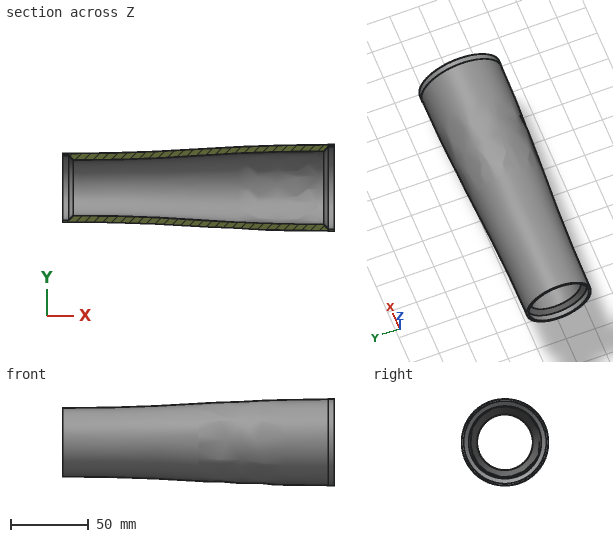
import cadquery as cq
import math

length = 175.0
collar_length = 3.8
small_radius = 22.2
large_radius = 28.0
large_body_radius = 27.8
middle_radius = (small_radius + large_body_radius) / 2

bore_radius = 17.8
lip_wall = 1.4
socket_depth = 3.8
cone_length = 3.0
throat_length = 4.0
wall = small_radius - bore_radius

middle_x = length / 2
large_collar_x = length - collar_length
large_bore_radius = large_body_radius - wall
bore_middle_radius = middle_radius - wall
small_throat_x = socket_depth + cone_length
small_bore_x = small_throat_x + throat_length
large_throat_x = length - small_throat_x
large_bore_x = length - small_bore_x

arc_run = middle_x - collar_length
arc_rise = middle_radius - small_radius
outer_arc_radius = (arc_run**2 + arc_rise**2) / (2 * arc_rise)
half_angle = math.asin(arc_run / outer_arc_radius) / 2
half_run = outer_arc_radius * math.sin(half_angle)
half_rise = outer_arc_radius * (1 - math.cos(half_angle))
swell_arc_middle = (collar_length + half_run, small_radius + half_rise)
settle_arc_middle = (large_collar_x - half_run, large_body_radius - half_rise)


def build_outline():
    """Half section of the tube, with X along the axis and Y as the radius."""
    return (
        cq.Workplane("XY")
        .moveTo(0, small_radius)
        .lineTo(collar_length, small_radius)
        .threePointArc(swell_arc_middle, (middle_x, middle_radius))
        .threePointArc(settle_arc_middle, (large_collar_x, large_body_radius))
        .lineTo(large_collar_x, large_radius)
        .lineTo(length, large_radius)
        .lineTo(length, large_radius - lip_wall)
        .lineTo(length - socket_depth, large_radius - lip_wall)
        .lineTo(large_throat_x, large_bore_radius)
        .lineTo(large_bore_x, large_bore_radius)
        .tangentArcPoint((middle_x, bore_middle_radius), relative=False)
        .tangentArcPoint((small_bore_x, bore_radius), relative=False)
        .lineTo(small_throat_x, bore_radius)
        .lineTo(socket_depth, small_radius - lip_wall)
        .lineTo(0, small_radius - lip_wall)
        .close()
    )


result = build_outline().revolve(360, (0, 0, 0), (1, 0, 0))